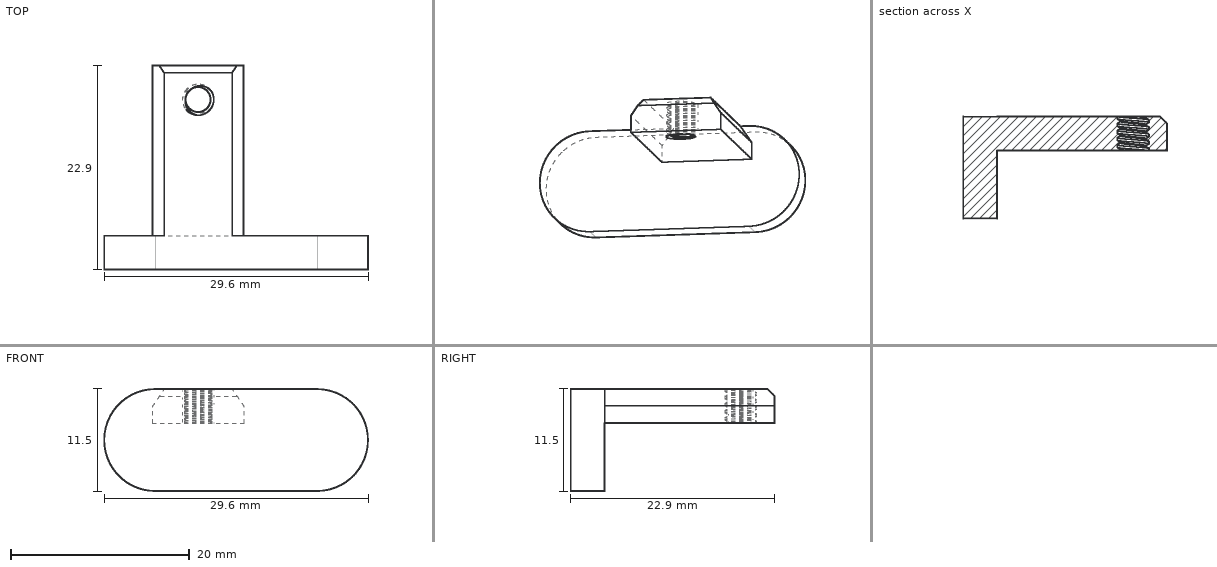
import cadquery as cq
import math

flange_length = 29.57
flange_height = 11.45
flange_thickness = 3.8

total_depth = 22.85
arm_width = 10.23
arm_height = flange_height / 3
arm_center_x = -4.25
arm_top = flange_height / 2
arm_bottom = arm_top - arm_height
bevel_width = 1.3
bevel_height = arm_height / 2
end_chamfer = 0.8

hole_y = total_depth - flange_thickness
minor_diameter = 2.78
major_diameter = 3.52
thread_pitch = 0.8
root_flat = 0.27
flank_angle = 30
groove_angle_at_top = 330
profile_overlap = 0.03
spare_turns = 2


def make_flange():
    plate = cq.Workplane("XZ").slot2D(flange_length, flange_height)
    return plate.extrude(-flange_thickness)


def make_arm():
    half_width = arm_width / 2
    half_top = half_width - bevel_width
    bevel_bottom = arm_top - bevel_height
    section = [
        (-half_width, arm_bottom),
        (half_width, arm_bottom),
        (half_width, bevel_bottom),
        (half_top, arm_top),
        (-half_top, arm_top),
        (-half_width, bevel_bottom),
    ]
    bar = cq.Workplane("XZ").polyline(section).close().extrude(-total_depth)
    corner = [
        (total_depth, arm_top),
        (total_depth - end_chamfer, arm_top),
        (total_depth, arm_top - end_chamfer),
    ]
    wedge = cq.Workplane("YZ").polyline(corner).close().extrude(half_width, both=True)
    return bar.cut(wedge).translate((arm_center_x, 0, 0))


def make_thread_cutter():
    """Bore plus a right-handed helical groove, on the Z axis from z = 0 up."""
    turns = math.ceil(arm_height / thread_pitch) + 2 * spare_turns
    height = turns * thread_pitch
    inner_radius = minor_diameter / 2 - profile_overlap
    outer_radius = major_diameter / 2
    half_root = root_flat / 2
    half_mouth = half_root + (outer_radius - inner_radius) * math.tan(math.radians(flank_angle))
    profile = [
        (inner_radius, -half_mouth),
        (outer_radius, -half_root),
        (outer_radius, half_root),
        (inner_radius, half_mouth),
    ]
    helix = cq.Wire.makeHelix(thread_pitch, height, inner_radius)
    groove = cq.Workplane("XZ").polyline(profile).close().sweep(helix, isFrenet=True)
    bore = cq.Workplane("XY").circle(minor_diameter / 2).extrude(height)
    top_offset = height - spare_turns * thread_pitch
    turn_at_top = 360 * top_offset / thread_pitch
    rotation = groove_angle_at_top - turn_at_top
    groove = groove.rotate((0, 0, 0), (0, 0, 1), rotation)
    position = (arm_center_x, hole_y, arm_top - top_offset)
    return bore.translate(position), groove.translate(position)


bore, groove = make_thread_cutter()
result = make_flange().union(make_arm()).cut(groove).cut(bore)